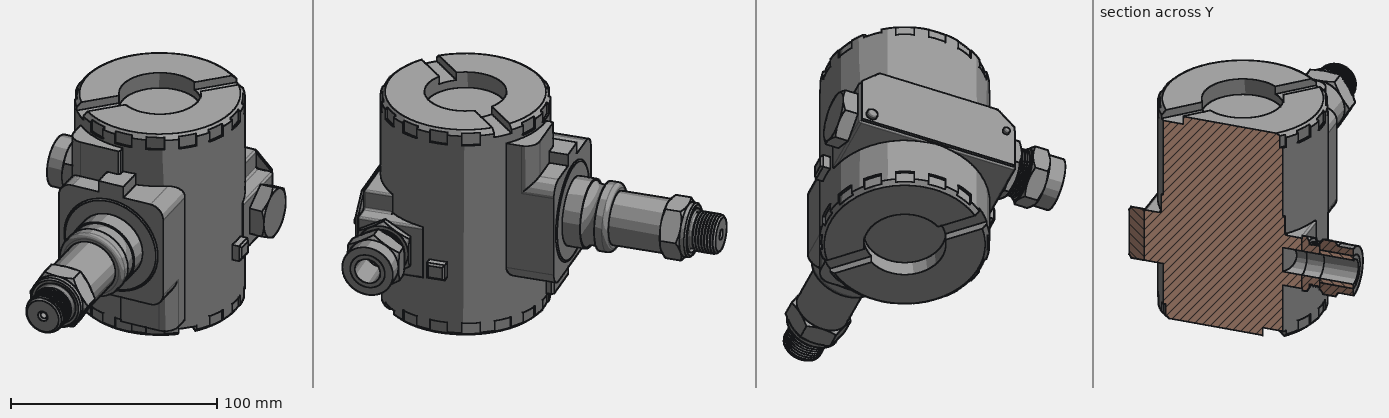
import cadquery as cq
import math

DRUM_D = 82.6
DRUM_H = 113.0
RIM_CHAMFER = 2.3
NOTCH_COUNT = 16
NOTCH_W = 9.0
NOTCH_DEPTH = 1.0
NOTCH_REACH = 7.5
EYE_D = 39.8
EYE_DEPTH = 8.6
KEY_SLOT_W = 9.3
KEY_SLOT_DEPTH = 4.2
KEY_SLOT_ANGLE = 45

MOUNT_SIDE = 56.1
MOUNT_Z = 0.4
MOUNT_FACE_Y = -54.7
MOUNT_R = 7.0
PAD_FACE_Y = -45.0
PAD_R = 7.0
PAD_BEVEL_X = 0.7
PAD_BEVEL_Y = 1.2
PAD_END_Z = 47.5
TAB_W = 13.3
TAB_TOP_Z = 34.5

ENTRY_Y = 27.2
ENTRY_Z = -12.6
ENTRY_W = 82.0
ENTRY_BACK_Y = 41.4
ENTRY_FRONT_Y = 7.9
ENTRY_TOP_Z = 1.2
ENTRY_BOTTOM_Z = -26.8
STEP_W = 64.2
STEP_TOP_Z = 11.4
STEP_FRONT_Y = 26.5
ENTRY_FILLET = 1.0
BACK_FILLET = 0.9
PLATE_T = 1.2
SCREW_X = 35.3
SCREW_END_Y = 44.5
SCREW_FILLET = 0.5
SMALL_SCREW_D = 3.3
SMALL_SCREW_Z = -4.0
LARGE_SCREW_D = 5.5
LARGE_SCREW_Z = -21.5

LUG_LENGTH_Y = 9.1
LUG_HEIGHT_Z = 8.5
LUG_Z = -19.8
LUG_END_X = 45.8
LUG_CHAMFER = 1.0

FLANGE_D = 50.5
FLANGE_T = 0.5
FLANGE_BEVEL = 0.9
COLLAR_D = 34.5
COLLAR_END_Y = -64.4
GROOVE_D = 30.2
GROOVE_STEP = 0.7
RING_START_Y = -71.5
RING_END_Y = -77.7
RING_FILLET = 2.3
STEM_D = 26.8
SENSOR_HEX_START_Y = -103.8
SENSOR_HEX_END_Y = -114.0
SENSOR_HEX_FLATS = 27.0
SHOULDER_END_Y = -117.2
SHOULDER_CHAMFER = 0.9
SEAL_GROOVE_R = 1.0
THREAD_START_Y = -119.0
SENSOR_END_Y = -130.8
SENSOR_THREAD_D = 19.8
SENSOR_ROOT_D = 17.7
SENSOR_TIP_D = 17.0
PORT_D = 3.3
PORT_MOUTH_D = 5.3
PORT_DEPTH = 7.0

GLAND_END_X = -67.7
NUT_HEX_START_X = -59.6
NUT_HEX_END_X = -50.0
NUT_SLEEVE_D = 26.0
NUT_INNER_FACE_D = 24.0
GLAND_HEX_FLATS = 26.3
SEAL_D = 17.7
CABLE_BORE_D = 13.0
GLAND_THREAD_D = 23.9
GLAND_NECK_D = 22.1
GLAND_THREAD_END_X = -46.1
FITTING_HEX_START_X = -44.7

PLUG_END_X = 48.8
PLUG_HEX_FLATS = 24.5

THREAD_PITCH = 1.49
HEX_CHAMFER_ANGLE = 30

ENTRY_FACE_X = ENTRY_W / 2


def box(x0, x1, y0, y1, z0, z1):
    """Box between two opposite corners."""
    return cq.Workplane("XY").box(x1 - x0, y1 - y0, z1 - z0, centered=False).translate((x0, y0, z0))


def rod(diameter, length):
    """Cylinder from the origin along +Z."""
    return cq.Workplane("XY").circle(diameter / 2).extrude(length)


def along_x(body, start_x):
    """Turn a body standing on Z to run along +X on the cable entry axis."""
    return body.rotate((0, 0, 0), (0, 1, 0), 90).translate((start_x, ENTRY_Y, ENTRY_Z))


def along_minus_y(body, start_y):
    """Turn a body standing on Z to run along -Y through the origin."""
    return body.rotate((0, 0, 0), (1, 0, 0), 90).translate((0, start_y, 0))


def hexagon(flats, length, start_face_d=None, end_face_d=None):
    """Hexagonal prism along +Z with a corner on +X.

    Where the diameter of an end face is given, the corners are turned off conically to meet it.
    """
    corner_r = flats / math.sqrt(3)
    slope = math.tan(math.radians(HEX_CHAMFER_ANGLE))
    start_r = start_face_d / 2 if start_face_d else corner_r
    end_r = end_face_d / 2 if end_face_d else corner_r
    outline = [(0, 0), (start_r, 0)]
    if start_face_d:
        outline.append((corner_r, (corner_r - start_r) * slope))
    if end_face_d:
        outline.append((corner_r, length - (corner_r - end_r) * slope))
    outline += [(end_r, length), (0, length)]
    envelope = cq.Workplane("XZ").polyline(outline).close().revolve(360, (0, 0, 0), (0, 1, 0))
    return cq.Workplane("XY").polygon(6, 2 * corner_r).extrude(length).intersect(envelope)


def threaded_rod(crest_d, root_d, length):
    """Rod along +Z whose whole length carries V-shaped thread ridges."""
    ridge_count = round(length / THREAD_PITCH)
    pitch = length / ridge_count
    outline = [(0, 0), (root_d / 2, 0)]
    for ridge in range(ridge_count):
        outline.append((crest_d / 2, (ridge + 0.5) * pitch))
        outline.append((root_d / 2, (ridge + 1) * pitch))
    outline.append((0, length))
    return cq.Workplane("XZ").polyline(outline).close().revolve(360, (0, 0, 0), (0, 1, 0))


def make_drum():
    """Drum with bevelled rims, an eye recess and a key slot in each end, and notched rims."""
    drum = rod(DRUM_D, DRUM_H).translate((0, 0, -DRUM_H / 2))
    drum = drum.faces("<Z or >Z").chamfer(RIM_CHAMFER)

    top_z = DRUM_H / 2
    key_slot = box(-DRUM_D, DRUM_D, -KEY_SLOT_W / 2, KEY_SLOT_W / 2, top_z - KEY_SLOT_DEPTH, top_z)
    eye = rod(EYE_D, EYE_DEPTH).translate((0, 0, top_z - EYE_DEPTH))
    end_cut = key_slot.rotate((0, 0, 0), (0, 0, 1), KEY_SLOT_ANGLE)

    notch = box(0, DRUM_D, -NOTCH_W / 2, NOTCH_W / 2, top_z - NOTCH_REACH, top_z)
    floor = rod(DRUM_D - 2 * NOTCH_DEPTH, DRUM_H)
    notch = notch.cut(floor)
    for index in range(NOTCH_COUNT):
        angle = index * 360 / NOTCH_COUNT
        if (angle - KEY_SLOT_ANGLE) % 180 != 0:
            end_cut = end_cut.union(notch.rotate((0, 0, 0), (0, 0, 1), angle))
    end_cut = end_cut.union(eye)

    return drum.cut(end_cut).cut(end_cut.rotate((0, 0, 0), (0, 1, 0), 180))


def make_mount():
    """Square sensor mount with a corner pad above and below, and a locating tab on top."""
    half = MOUNT_SIDE / 2
    mount = box(-half, half, MOUNT_FACE_Y, 0, -half, half).edges("|Y").fillet(MOUNT_R)
    mount = mount.translate((0, 0, MOUNT_Z))
    pad = (
        cq.Workplane("XY")
        .moveTo(-half, 0)
        .lineTo(-half, PAD_FACE_Y + PAD_R)
        .radiusArc((-half + PAD_R, PAD_FACE_Y), -PAD_R)
        .lineTo(-PAD_BEVEL_X, PAD_FACE_Y)
        .lineTo(0, PAD_FACE_Y + PAD_BEVEL_Y)
        .lineTo(0, 0)
        .close()
        .extrude(PAD_END_Z)
    )
    tab = box(-TAB_W / 2, TAB_W / 2, MOUNT_FACE_Y, 0, 0, TAB_TOP_Z)
    lower_pad = pad.rotate((0, 0, 0), (0, 1, 0), 180)
    return mount.union(pad).union(lower_pad).union(tab)


def make_entry_block():
    """Stepped cable entry block, bored from the -X side."""
    lower = box(-ENTRY_W / 2, ENTRY_W / 2, ENTRY_FRONT_Y, ENTRY_BACK_Y, ENTRY_BOTTOM_Z, ENTRY_TOP_Z)
    step = box(-STEP_W / 2, STEP_W / 2, STEP_FRONT_Y, ENTRY_BACK_Y, ENTRY_BOTTOM_Z, STEP_TOP_Z)
    block = lower.union(step)
    block = block.edges("|Y").fillet(ENTRY_FILLET).faces(">Y").edges().fillet(BACK_FILLET)
    bore = along_x(rod(CABLE_BORE_D, ENTRY_FACE_X), -ENTRY_FACE_X)
    return block.cut(bore)


def make_back_plate():
    """Plate on the back of the entry block with sloping shoulders and two screw heads."""
    side_x = ENTRY_W / 2 - ENTRY_FILLET
    top_x = STEP_W / 2 - ENTRY_FILLET
    bottom_z = ENTRY_BOTTOM_Z + ENTRY_FILLET
    top_z = STEP_TOP_Z - ENTRY_FILLET
    outline = [
        (-side_x, bottom_z),
        (side_x, bottom_z),
        (side_x, ENTRY_TOP_Z),
        (top_x, top_z),
        (-top_x, top_z),
        (-side_x, ENTRY_TOP_Z),
    ]
    plate = cq.Workplane("XZ").polyline(outline).close().extrude(-PLATE_T)
    plate = plate.translate((0, ENTRY_BACK_Y, 0))
    screw_length = SCREW_END_Y - ENTRY_BACK_Y
    screws = [(-SCREW_X, SMALL_SCREW_Z, SMALL_SCREW_D), (SCREW_X, LARGE_SCREW_Z, LARGE_SCREW_D)]
    for x, z, diameter in screws:
        screw = rod(diameter, screw_length).faces("<Z").edges().fillet(SCREW_FILLET)
        screw = along_minus_y(screw, SCREW_END_Y)
        plate = plate.union(screw.translate((x, 0, z)))
    return plate


def make_lugs():
    """Square bar through the drum whose two bevelled ends form the side lugs."""
    bar = cq.Workplane("XY").box(2 * LUG_END_X, LUG_LENGTH_Y, LUG_HEIGHT_Z)
    return bar.faces("<X or >X").chamfer(LUG_CHAMFER).translate((0, 0, LUG_Z))


def make_housing():
    """Drum with the sensor mount, side lugs, entry block and back plate joined to it.

    The added shapes start inside the drum, so its core is cut from them before they are joined.
    """
    drum = make_drum()
    core = rod(DRUM_D, 2 * PAD_END_Z).translate((0, 0, -PAD_END_Z))
    mount = make_mount().cut(core)
    lugs = make_lugs().cut(core)
    entry = make_entry_block().union(make_back_plate()).cut(core)
    return drum.union(mount).union(lugs).union(entry)


def make_sensor():
    """Turned sensor: flange, grooved collar, stem, hexagon, thread and pressure port."""
    collar_r = COLLAR_D / 2
    stem_r = STEM_D / 2
    groove_mid_y = (COLLAR_END_Y + RING_START_Y) / 2
    fillet_mid = RING_FILLET * (1 - math.sqrt(0.5))
    flange_y = MOUNT_FACE_Y - FLANGE_T
    groove_mouth_r = collar_r - GROOVE_STEP
    body = (
        cq.Workplane("XY")
        .moveTo(0, MOUNT_FACE_Y)
        .lineTo(FLANGE_D / 2, MOUNT_FACE_Y)
        .lineTo(FLANGE_D / 2 - FLANGE_BEVEL, flange_y)
        .lineTo(collar_r, flange_y)
        .lineTo(collar_r, COLLAR_END_Y)
        .lineTo(groove_mouth_r, COLLAR_END_Y)
        .threePointArc((GROOVE_D / 2, groove_mid_y), (groove_mouth_r, RING_START_Y))
        .lineTo(collar_r, RING_START_Y)
        .lineTo(collar_r, RING_END_Y + RING_FILLET)
        .threePointArc((collar_r - fillet_mid, RING_END_Y + fillet_mid), (collar_r - RING_FILLET, RING_END_Y))
        .lineTo(stem_r, RING_END_Y)
        .lineTo(stem_r, SHOULDER_END_Y + SHOULDER_CHAMFER)
        .lineTo(stem_r - SHOULDER_CHAMFER, SHOULDER_END_Y)
        .lineTo(0, SHOULDER_END_Y)
        .close()
        .revolve(360, (0, 0, 0), (0, 1, 0))
    )
    seal_groove = (
        cq.Workplane("XY")
        .moveTo(SENSOR_ROOT_D / 2 + SEAL_GROOVE_R, SHOULDER_END_Y)
        .circle(SEAL_GROOVE_R)
        .revolve(360, (0, 0, 0), (0, 1, 0))
    )
    hex_length = SENSOR_HEX_START_Y - SENSOR_HEX_END_Y
    grip = hexagon(SENSOR_HEX_FLATS, hex_length, SENSOR_HEX_FLATS, SENSOR_HEX_FLATS)
    body = body.union(along_minus_y(grip, SENSOR_HEX_START_Y)).cut(seal_groove)
    body = body.union(make_sensor_thread()).cut(make_pressure_port())
    return body.translate((0, 0, MOUNT_Z))


def make_sensor_thread():
    """Process thread: a plain relief neck, then ridges cut off by a bevel at the tip."""
    neck = along_minus_y(rod(SENSOR_ROOT_D, SHOULDER_END_Y - THREAD_START_Y), SHOULDER_END_Y)
    length = THREAD_START_Y - SENSOR_END_Y
    bevel = (SENSOR_THREAD_D - SENSOR_TIP_D) / 2
    envelope = rod(SENSOR_THREAD_D, length).faces(">Z").chamfer(bevel)
    ridges = threaded_rod(SENSOR_THREAD_D, SENSOR_ROOT_D, length).intersect(envelope)
    return neck.union(along_minus_y(ridges, THREAD_START_Y))


def make_pressure_port():
    """Blind bore with a countersunk mouth, to be cut from the tip of the sensor."""
    mouth_depth = (PORT_MOUTH_D - PORT_D) / 2
    outline = [
        (0, 0),
        (PORT_MOUTH_D / 2, 0),
        (PORT_D / 2, mouth_depth),
        (PORT_D / 2, PORT_DEPTH),
        (0, PORT_DEPTH),
    ]
    port = cq.Workplane("XY").polyline(outline).close().revolve(360, (0, 0, 0), (0, 1, 0))
    return port.translate((0, SENSOR_END_Y, 0))


def make_gland_nut():
    """Cap nut of the gland: a round sleeve followed by a hexagon."""
    length = NUT_HEX_END_X - GLAND_END_X
    sleeve = along_x(rod(NUT_SLEEVE_D, length), GLAND_END_X)
    grip = hexagon(GLAND_HEX_FLATS, NUT_HEX_END_X - NUT_HEX_START_X, NUT_SLEEVE_D, NUT_INNER_FACE_D)
    grip = along_x(grip, NUT_HEX_START_X)
    bore = along_x(rod(SEAL_D, length), GLAND_END_X)
    return sleeve.union(grip).cut(bore)


def make_gland_seal():
    """Sealing sleeve that fills the nut around the cable bore."""
    length = NUT_HEX_END_X - GLAND_END_X
    seal = rod(SEAL_D, length).cut(rod(CABLE_BORE_D, length))
    return along_x(seal, GLAND_END_X)


def make_gland_fitting():
    """Threaded fitting between the nut and the entry block."""
    length = -ENTRY_FACE_X - NUT_HEX_END_X
    thread = threaded_rod(GLAND_THREAD_D, GLAND_NECK_D, GLAND_THREAD_END_X - NUT_HEX_END_X)
    neck = rod(GLAND_NECK_D, length)
    grip = hexagon(GLAND_HEX_FLATS, -ENTRY_FACE_X - FITTING_HEX_START_X, start_face_d=NUT_SLEEVE_D)
    shank = along_x(thread.union(neck), NUT_HEX_END_X)
    bore = along_x(rod(CABLE_BORE_D, length), NUT_HEX_END_X)
    return shank.union(along_x(grip, FITTING_HEX_START_X)).cut(bore)


def make_plug():
    """Hexagonal blanking plug closing the second cable entry."""
    plug = hexagon(PLUG_HEX_FLATS, PLUG_END_X - ENTRY_FACE_X, end_face_d=PLUG_HEX_FLATS)
    return along_x(plug, ENTRY_FACE_X)


housing = make_housing()
sensor = make_sensor()
gland_nut = make_gland_nut()
gland_seal = make_gland_seal()
gland_fitting = make_gland_fitting()
plug = make_plug()

bodies = [housing, sensor, gland_nut, gland_seal, gland_fitting, plug]
result = cq.Compound.makeCompound([body.val() for body in bodies])